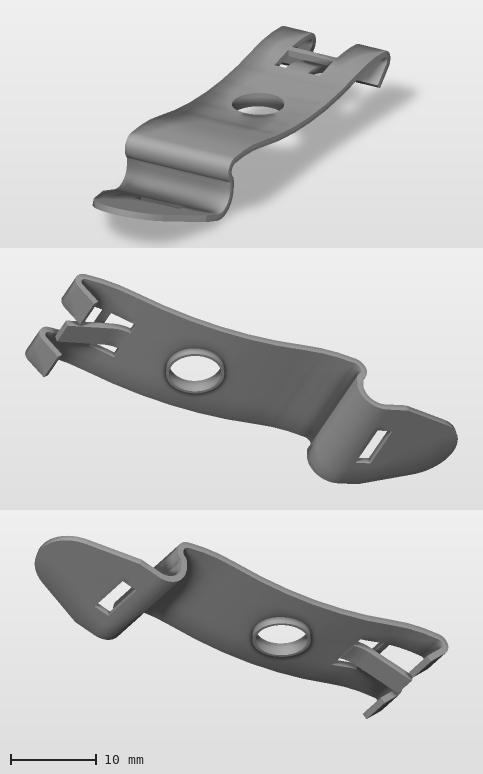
import cadquery as cq
import math

width = 14.0
thickness = 0.8
half_sheet = thickness / 2

valley_radius = 50.35
valley_half_length = 10.95
valley_angle = math.degrees(math.asin(valley_half_length / valley_radius))
crest_radius = 20.25
crest_overrun = 5.7

hook_radius = 1.0
hook_slope = 44.0
hook_length = 2.75

nose_radius = 1.25
nose_undercut = 41.0
neck_length = 0.1
neck_radius = 0.45
neck_drop = 0.85
heel_radius = 2.6
tab_slope = 18.0
tab_length = 12.35
tab_shoulder = 2.75
tab_taper = 20.0
tab_slot_start = 0.55
tab_slot_length = 2.0

notch_end = 31.15
opening = 6.1
collar_diameter = 6.8
collar_depth = 1.65
notch_start = 9.0
crossbar_start = 12.25
crossbar_width = 0.8

tongue_width = 3.0
tongue_radius = 4.95
tongue_slope = 17.0
tongue_length = 6.2


def offset_point(point, heading, distance):
    """Point at a distance to the left of a heading in the YZ plane."""
    angle = math.radians(heading)
    return (point[0] - distance * math.sin(angle), point[1] + distance * math.cos(angle))


def straight(point, heading, length):
    """Point reached by going straight along a heading."""
    return offset_point(point, heading - 90, length)


def bend(point, heading, radius, turn):
    """Point reached along an arc; a positive turn is to the left."""
    side = math.copysign(radius, turn)
    center = offset_point(point, heading, side)
    return offset_point(center, heading + turn, -side)


def extrude_across(profile, breadth):
    """Solid of a YZ profile, centered across the width."""
    return profile.extrude(breadth / 2, both=True)


def bent_strip(start, heading, steps, breadth):
    """Sheet following (length, 0) straights and (radius, turn) bends of its mid-plane.

    Returns the solid and its end point.
    """
    strip = None
    point = start
    for size, turn in steps:
        if turn:
            middle = bend(point, heading, size, turn / 2)
            end = bend(point, heading, size, turn)
        else:
            middle = straight(point, heading, size / 2)
            end = straight(point, heading, size)
        stations = [(point, heading), (middle, heading + turn / 2), (end, heading + turn)]
        left = [offset_point(p, h, half_sheet) for p, h in stations]
        right = [offset_point(p, h, -half_sheet) for p, h in stations]
        profile = cq.Workplane("YZ").moveTo(*left[0])
        if turn:
            profile = profile.threePointArc(left[1], left[2]).lineTo(*right[2])
            profile = profile.threePointArc(right[1], right[0]).close()
        else:
            profile = profile.lineTo(*left[2]).lineTo(*right[2]).lineTo(*right[0]).close()
        piece = extrude_across(profile, breadth)
        strip = piece if strip is None else strip.union(piece)
        point = end
        heading += turn
    return strip, point


def cross_box(y_start, y_end):
    """Tall box as wide as the openings, used to cut the strip between two Y positions."""
    tall = 20.75
    middle = (y_start + y_end) / 2
    return cq.Workplane("XY").box(opening, y_end - y_start, tall).translate((0, middle, 0))


def finger_tab(heel_end):
    """Tapered, round-ended tab with a slot, drawn flat in its own sloping plane."""
    plane = cq.Plane(
        origin=(0, *offset_point(heel_end, 180 - tab_slope, half_sheet)),
        xDir=(1, 0, 0),
        normal=(0, math.sin(math.radians(tab_slope)), math.cos(math.radians(tab_slope))),
    )
    taper = math.radians(tab_taper)
    half = width / 2
    taper_run = tab_length - tab_shoulder
    tip_radius = (half * math.cos(taper) - taper_run * math.sin(taper)) / (1 - math.sin(taper))
    tangent_x = tip_radius * math.cos(taper)
    tangent_y = -tab_length + tip_radius * (1 - math.sin(taper))
    tab = (
        cq.Workplane(plane)
        .moveTo(-half, 0)
        .lineTo(-half, -tab_shoulder)
        .lineTo(-tangent_x, tangent_y)
        .threePointArc((0, -tab_length), (tangent_x, tangent_y))
        .lineTo(half, -tab_shoulder)
        .lineTo(half, 0)
        .close()
        .extrude(thickness)
    )
    slot = (
        cq.Workplane(plane)
        .center(0, -tab_slot_start - tab_slot_length / 2)
        .rect(opening, tab_slot_length)
        .extrude(thickness)
    )
    return tab.cut(slot)


valley = (0, -half_sheet)
wave_end_turn = valley_angle + crest_overrun
rear_steps = [
    (valley_radius, valley_angle),
    (crest_radius, -wave_end_turn),
    (hook_radius, -(180 - hook_slope - crest_overrun)),
    (hook_length, 0),
]
front_steps = [
    (valley_radius, -valley_angle),
    (crest_radius, wave_end_turn),
    (nose_radius, 90 + nose_undercut - crest_overrun),
    (neck_length, 0),
    (neck_radius, -nose_undercut),
    (neck_drop, 0),
    (heel_radius, -(90 + tab_slope)),
]
rear, _ = bent_strip(valley, 0, rear_steps, width)
front, heel_end = bent_strip(valley, 180, front_steps, width)

crossbar_end = crossbar_start + crossbar_width
rear = rear.cut(cross_box(notch_start, crossbar_start)).cut(cross_box(crossbar_end, notch_end))

tongue_heading = math.degrees(math.asin(notch_start / valley_radius))
tongue_root = bend(valley, 0, valley_radius, tongue_heading)
tongue_steps = [(tongue_radius, -tongue_heading - tongue_slope), (tongue_length, 0)]
tongue, _ = bent_strip(tongue_root, tongue_heading, tongue_steps, tongue_width)

collar_base = cq.Workplane("XY").workplane(offset=-collar_depth)
collar = collar_base.circle(collar_diameter / 2).extrude(collar_depth - half_sheet)
hole = cq.Workplane("XY").circle(opening / 2).extrude(2 * collar_depth, both=True)

result = rear.union(front).union(finger_tab(heel_end)).union(tongue).union(collar).cut(hole)